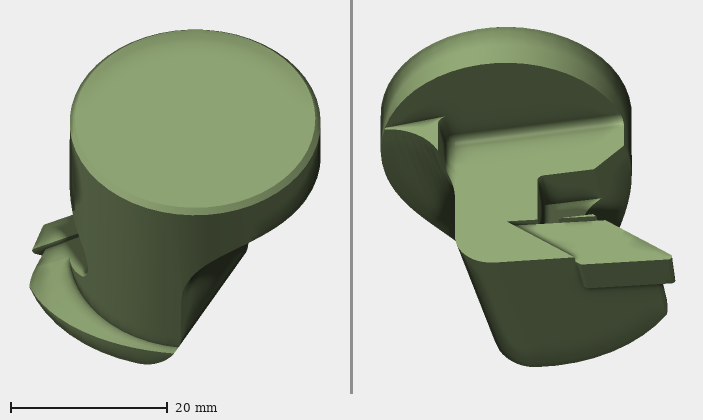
import cadquery as cq
import math

head_diameter = 32.0
head_radius = head_diameter / 2
top_chamfer = 0.7
total_height = 32.0

tool_angle = 5.4
span = 75.82

flare_top = -25.9
flare_height = 7.6
foot_front = -17.1
foot_radius = 22.35
foot_centre_x = -2.45
foot_centre_y = foot_front + foot_radius

shelf_z = -7.05
relief_radius = head_radius - 5.85
heel_x = head_radius - relief_radius
holder_nose_radius = 0.5
heel_radius = 5.7
bottom_angle = 4.5
bottom_z_at_axis = -29.65

groove_radius = 4.25
groove_x = -13.72
groove_z = -19.22
groove_angle = 42.5

flute_face_y = 2.9
flute_fillet = 1.15
rib_x = 6.82
rib_y = 8.05

insert_side = 12.7
insert_low_angle = 5
insert_high_angle = 41.8
insert_face_y = 2.05
insert_thickness = 4.55
insert_clearance = 1.6
insert_nose_radius = 0.45
insert_nose_x = -22.67
insert_nose_z = -32.1

recess_end_x = -4.55
recess_top = -15.15
recess_bottom = -23.13
recess_fillet = 0.75


def polar(length, angle):
    return length * math.cos(math.radians(angle)), length * math.sin(math.radians(angle))


def in_tool_frame(shape):
    return shape.rotate((0, 0, 0), (0, 0, 1), tool_angle)


def block(x_min, x_max, y_min, y_max, z_min, z_max):
    return cq.Workplane("XY").box(
        x_max - x_min, y_max - y_min, z_max - z_min, centered=False
    ).translate((x_min, y_min, z_min))


def make_blank():
    shank = cq.Workplane("XY").circle(head_radius).extrude(-total_height)
    shank = shank.faces(">Z").chamfer(top_chamfer)
    flare = (
        cq.Workplane("XY").workplane(offset=flare_top).circle(head_radius)
        .workplane(offset=-flare_height).circle(head_radius + flare_height).loft()
    )
    envelope = (
        cq.Workplane("XY").center(foot_centre_x, foot_centre_y)
        .circle(foot_radius).extrude(-span)
    )
    return shank.union(flare.intersect(envelope))


def make_side_profile():
    """Prism with the heel relief, rounded heel and sloping bottom."""
    slope = math.tan(math.radians(bottom_angle))
    heel_bottom_z = bottom_z_at_axis + heel_x * slope
    left_bottom_z = bottom_z_at_axis - span * slope
    arc_mid_x, arc_mid_z = polar(relief_radius, 135)
    prism = (
        cq.Workplane("XZ").moveTo(-span, 0).lineTo(span, 0).lineTo(span, shelf_z)
        .lineTo(head_radius, shelf_z)
        .threePointArc(
            (head_radius + arc_mid_x, shelf_z - relief_radius + arc_mid_z),
            (heel_x, shelf_z - relief_radius),
        )
        .lineTo(heel_x, heel_bottom_z).lineTo(-span, left_bottom_z).close()
        .extrude(span / 2, both=True)
    )
    heel = cq.selectors.NearestToPointSelector((heel_x, 0, heel_bottom_z))
    return prism.edges(heel).fillet(heel_radius)


def make_groove():
    """V groove with a round root, open toward -X."""
    dx, dz = polar(groove_radius, 90 - groove_angle)
    run, rise = polar(span, groove_angle)
    return (
        cq.Workplane("XZ").moveTo(groove_x + dx - run, groove_z + dz + rise)
        .lineTo(groove_x + dx, groove_z + dz)
        .threePointArc((groove_x + groove_radius, groove_z), (groove_x + dx, groove_z - dz))
        .lineTo(groove_x + dx - run, groove_z - dz - rise).close()
        .extrude(span / 2, both=True)
    )


def make_flute():
    """Space in front of the insert face, stopping at the rib on the +X side."""
    flute = block(-span, span, flute_face_y, span, -span, shelf_z)
    flute = in_tool_frame(flute.edges(">Z and <Y").fillet(flute_fillet))
    flute = flute.intersect(block(-span, rib_x, -span, span, -span, shelf_z))
    return flute.edges(">Z and >X").fillet(flute_fillet)


def make_back_relief():
    return block(-span, span, rib_y, span, -span, shelf_z)


def insert_outline():
    low_x, low_z = polar(insert_side, insert_low_angle)
    high_x, high_z = polar(insert_side, insert_high_angle)
    x, z = insert_nose_x, insert_nose_z
    return (
        cq.Workplane("XZ", origin=(0, insert_face_y, 0)).moveTo(x, z)
        .lineTo(x + low_x, z + low_z)
        .lineTo(x + low_x + high_x, z + low_z + high_z)
        .lineTo(x + high_x, z + high_z).close()
    )


def make_insert():
    plate = insert_outline().extrude(insert_thickness, taper=insert_clearance)
    plate = plate.edges(cq.selectors.NearestToPointSelector(
        (insert_nose_x, insert_face_y - insert_thickness / 2, insert_nose_z)
    )).fillet(insert_nose_radius)
    return in_tool_frame(plate)


def make_pocket():
    """Straight opening over the insert face plus the recess above the insert."""
    opening = insert_outline().extrude(-span)
    recess = block(
        groove_x, recess_end_x, insert_face_y - insert_thickness, span, recess_bottom, recess_top
    )
    recess = recess.edges(">X and (>Z or <Y)").fillet(recess_fillet)
    return in_tool_frame(opening.union(recess))


insert = make_insert()

holder = make_blank().intersect(make_side_profile())
holder = holder.cut(in_tool_frame(make_groove()))
holder = holder.edges("<X").fillet(holder_nose_radius)
holder = holder.cut(make_flute()).cut(make_back_relief())
holder = holder.cut(make_pocket()).cut(insert)

result = cq.Compound.makeCompound([*holder.vals(), insert.val()])